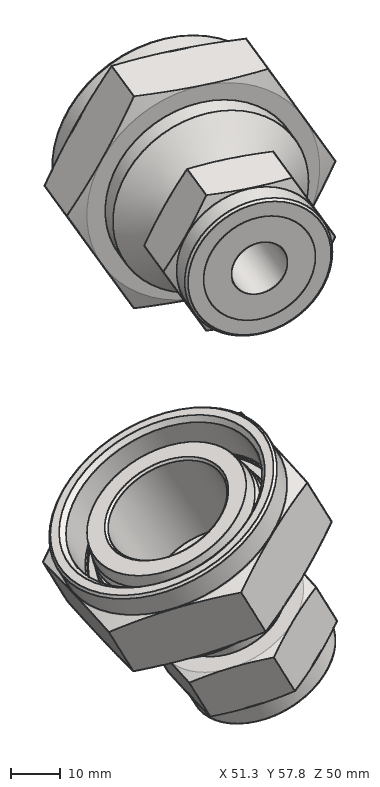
import cadquery as cq
import math


overall_length = 51.3
hex_chamfer_angle = 15.0
collar_chamfer = 0.5

large_across_corners = 57.75
large_across_flats = large_across_corners * math.sqrt(3) / 2
large_collar_radius = 24.9
large_hex_start = 5.55
large_hex_end = 20.0
thread_radius = 21.4
thread_entry_radius = 22.45
thread_end = 10.7

small_across_flats = 32.0
small_collar_radius = 15.9
small_hex_start = 34.35
small_hex_end = 46.3

body_radius = 21.0
shoulder_x = 11.3
taper_start = 24.25
taper_end = 30.6
neck_radius = 12.0

cone_start = 2.3
cone_tip_radius = 17.4
cone_half_angle = 12.0
groove_start = 5.3
groove_end = 8.55
bead_top_radius = 18.35

socket_radius = 13.0
socket_entry_radius = 13.5
bore_radius = 6.0
funnel_half_angle = 60.0

entry_half_angle = 45.0


def revolve_about_x(profile):
    """Turn a closed (x, radius) profile into a solid of revolution about the X axis."""
    return profile.close().revolve(360, (0, 0, 0), (1, 0, 0))


def cylinder(radius, start, end):
    """Cylinder on the X axis between two x positions."""
    return cq.Workplane("YZ", origin=(start, 0, 0)).circle(radius).extrude(end - start)


def entry_cone(mouth_radius, inner_radius, start):
    """Cutter for an internal chamfer that opens towards -X at x = start."""
    length = (mouth_radius - inner_radius) / math.tan(math.radians(entry_half_angle))
    return revolve_about_x(
        cq.Workplane("XY")
        .moveTo(start, 0)
        .lineTo(start, mouth_radius)
        .lineTo(start + length, inner_radius)
        .lineTo(start + length, 0)
    )


def chamfered_hexagon(across_flats, start, end):
    """Hexagon with corners on +Y and -Y, both ends turned to a shallow cone."""
    flat_radius = across_flats / 2
    corner_radius = across_flats / math.sqrt(3)
    chamfer = (corner_radius - flat_radius) * math.tan(math.radians(hex_chamfer_angle))
    prism = (
        cq.Workplane("YZ", origin=(start, 0, 0))
        .polygon(6, 2 * corner_radius)
        .extrude(end - start)
    )
    envelope = revolve_about_x(
        cq.Workplane("XY")
        .moveTo(start, 0)
        .lineTo(start, flat_radius)
        .lineTo(start + chamfer, corner_radius)
        .lineTo(end - chamfer, corner_radius)
        .lineTo(end, flat_radius)
        .lineTo(end, 0)
    )
    return prism.intersect(envelope)


def cone_radius(x):
    """Radius of the sealing cone at x."""
    return cone_tip_radius + (x - cone_start) * math.tan(math.radians(cone_half_angle))


def make_large_nut():
    collar = cylinder(large_collar_radius, 0, large_hex_start).faces("<X").chamfer(collar_chamfer)
    nut = collar.union(chamfered_hexagon(large_across_flats, large_hex_start, large_hex_end))
    nut = nut.cut(cylinder(body_radius, 0, large_hex_end))
    nut = nut.cut(cylinder(thread_radius, 0, thread_end))
    return nut.cut(entry_cone(thread_entry_radius, thread_radius, 0))


def make_small_nut():
    collar = cylinder(small_collar_radius, small_hex_end, overall_length)
    collar = collar.faces(">X").chamfer(collar_chamfer)
    nut = collar.union(chamfered_hexagon(small_across_flats, small_hex_start, small_hex_end))
    return nut.cut(cylinder(neck_radius, small_hex_start, overall_length))


def make_body():
    bead_radius = (groove_end - groove_start) / 2
    bead_center_radius = bead_top_radius - bead_radius
    outside = revolve_about_x(
        cq.Workplane("XY")
        .moveTo(cone_start, 0)
        .lineTo(cone_start, cone_tip_radius)
        .lineTo(groove_start, cone_radius(groove_start))
        .lineTo(groove_start, bead_center_radius)
        .threePointArc((groove_start + bead_radius, bead_top_radius), (groove_end, bead_center_radius))
        .lineTo(groove_end, cone_radius(groove_end))
        .lineTo(shoulder_x, cone_radius(shoulder_x))
        .lineTo(shoulder_x, body_radius)
        .lineTo(taper_start, body_radius)
        .lineTo(taper_end, neck_radius)
        .lineTo(overall_length, neck_radius)
        .lineTo(overall_length, 0)
    )
    funnel_length = (socket_radius - bore_radius) / math.tan(math.radians(funnel_half_angle))
    funnel_end = taper_start + funnel_length
    passage = revolve_about_x(
        cq.Workplane("XY")
        .moveTo(cone_start, 0)
        .lineTo(cone_start, socket_radius)
        .lineTo(taper_start, socket_radius)
        .lineTo(funnel_end, bore_radius)
        .lineTo(overall_length, bore_radius)
        .lineTo(overall_length, 0)
    )
    return outside.cut(passage).cut(entry_cone(socket_entry_radius, socket_radius, cone_start))


body = make_body()
large_nut = make_large_nut()
small_nut = make_small_nut()

result = cq.Compound.makeCompound([body.val(), large_nut.val(), small_nut.val()])